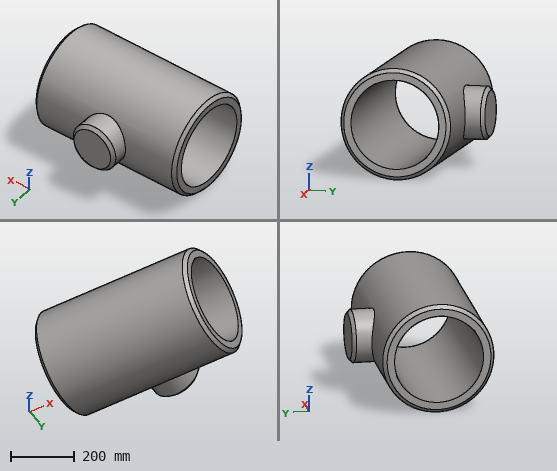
import cadquery as cq

pipe_length = 559.0
pipe_diameter = 355.5
bore_diameter = 284.5

branch_diameter = 169.0
overall_depth = 416.5
branch_reach = overall_depth - pipe_diameter / 2

end_bevel = 12.0


def cylinder_along_x(diameter):
    """Cylinder of the full pipe length, centred on the X axis."""
    return cq.Workplane("YZ").circle(diameter / 2).extrude(pipe_length / 2, both=True)


pipe = cylinder_along_x(pipe_diameter).faces("<X or >X").chamfer(end_bevel)

branch = cq.Workplane("XZ").circle(branch_diameter / 2).extrude(-branch_reach)
branch = branch.faces(">Y").chamfer(end_bevel)

result = pipe.union(branch).cut(cylinder_along_x(bore_diameter))